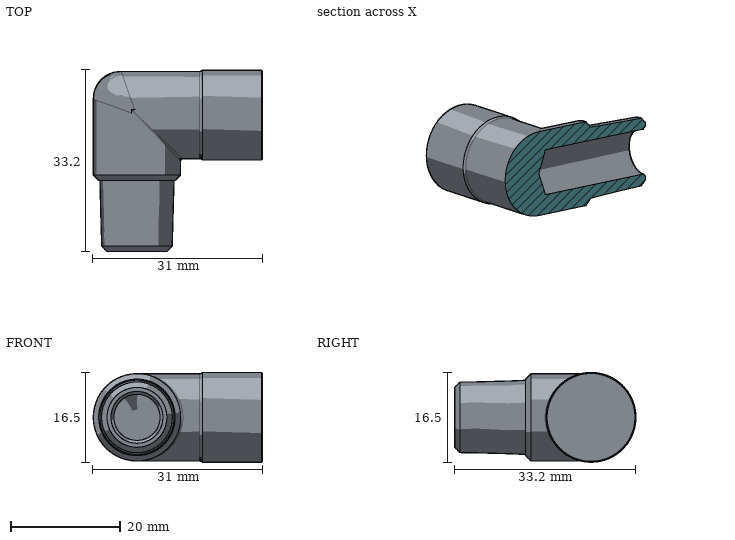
import cadquery as cq
import math

arm_radius = 8.0
outer_bend_radius = 5.0
inner_bend_radius = 0.4
crown_height = 0.05

collar_radius = 8.25
collar_end_x = 22.98
collar_length = 11.0
collar_root_fillet = 0.65
collar_edge_chamfer = 0.2

overall_length = 33.25
spigot_end = overall_length - collar_radius
spigot_length = 13.0
shoulder_chamfer = 1.0
tip_chamfer = 1.0
spigot_root_radius = 6.8
spigot_tip_radius = 6.5

bore_radius = 4.22
bore_mouth_chamfer = 0.53
drill_point_angle = 140.0

x_arm_length = collar_end_x - collar_length
y_arm_length = spigot_end - spigot_length


def round_arm(plane, length):
    """Cylinder that starts one radius behind the elbow centre, so it can be mitred."""
    overrun = arm_radius
    return cq.Workplane(plane).workplane(offset=-overrun).circle(arm_radius).extrude(overrun + length)


def mitred_elbow():
    """The two arms, each trimmed at the 45 degree mitre plane through the Z axis."""
    reach = 2 * (x_arm_length + y_arm_length)
    x_arm_side = (
        cq.Workplane("XY")
        .polyline([(-reach, reach), (reach, reach), (reach, -reach)])
        .close()
        .extrude(reach, both=True)
    )
    x_arm = round_arm("YZ", x_arm_length).intersect(x_arm_side)
    y_arm = round_arm("XZ", y_arm_length).cut(x_arm_side)
    y_arm = y_arm.faces("<Y").chamfer(shoulder_chamfer)
    return x_arm.union(y_arm)


def round_mitre(body, x_sign, radius):
    """Fillet the mitre edges lying on one side of the Z axis."""
    far = 2 * arm_radius
    near = arm_radius / 1000
    corner_a = (x_sign * near, -x_sign * near, -far)
    corner_b = (x_sign * far, -x_sign * far, far)
    edges = body.edges("%ELLIPSE").edges(cq.selectors.BoxSelector(corner_a, corner_b))
    return edges.fillet(radius)


def rounded_elbow():
    """Elbow with both bends rounded.

    The mitre edges fade out tangentially at the top and bottom of the elbow, so the
    rounding stops just short of them and thin plain crowns close the gap.
    """
    elbow = mitred_elbow()
    side = 4 * (x_arm_length + y_arm_length)
    band = cq.Workplane("XY").box(side, side, 2 * (arm_radius - crown_height))
    rounded = round_mitre(elbow.intersect(band), -1, outer_bend_radius)
    rounded = round_mitre(rounded, 1, inner_bend_radius)
    return rounded.union(elbow.cut(band))


def collar():
    """Turned collar with a concave fillet at its root and a chamfered outer end."""
    step = collar_radius - arm_radius
    fillet_angle = math.acos(1 - step / collar_root_fillet)
    fillet_start_x = x_arm_length - collar_root_fillet * math.sin(fillet_angle)
    fillet_middle = (
        fillet_start_x + collar_root_fillet * math.sin(fillet_angle / 2),
        arm_radius + collar_root_fillet * (1 - math.cos(fillet_angle / 2)),
    )
    return (
        cq.Workplane("XY")
        .moveTo(fillet_start_x, 0)
        .lineTo(fillet_start_x, arm_radius)
        .threePointArc(fillet_middle, (x_arm_length, collar_radius))
        .lineTo(collar_end_x - collar_edge_chamfer, collar_radius)
        .lineTo(collar_end_x, collar_radius - collar_edge_chamfer)
        .lineTo(collar_end_x, 0)
        .close()
        .revolve(360, (0, 0, 0), (1, 0, 0))
    )


def spigot():
    """Spigot that tapers gently from its root to a chamfered tip."""
    return (
        cq.Workplane("XY")
        .moveTo(0, -y_arm_length)
        .lineTo(spigot_root_radius, -y_arm_length)
        .lineTo(spigot_tip_radius, -(spigot_end - tip_chamfer))
        .lineTo(spigot_tip_radius - tip_chamfer, -spigot_end)
        .lineTo(0, -spigot_end)
        .close()
        .revolve(360, (0, 0, 0), (0, 1, 0))
    )


def bore():
    """Blind bore with a chamfered mouth and a conical drill point at the elbow centre."""
    point_depth = bore_radius / math.tan(math.radians(drill_point_angle / 2))
    return (
        cq.Workplane("XY")
        .moveTo(0, 0)
        .lineTo(bore_radius, -point_depth)
        .lineTo(bore_radius, -(spigot_end - bore_mouth_chamfer))
        .lineTo(bore_radius + bore_mouth_chamfer, -spigot_end)
        .lineTo(0, -spigot_end)
        .close()
        .revolve(360, (0, 0, 0), (0, 1, 0))
    )


result = rounded_elbow().union(collar()).union(spigot()).cut(bore())